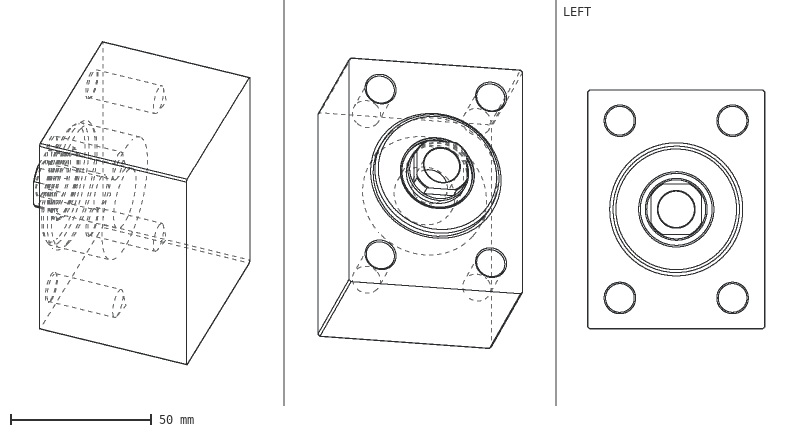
import cadquery as cq
import math

BLOCK_LENGTH = 56.0
BLOCK_WIDTH = 63.0
BLOCK_HEIGHT = 85.0
BLOCK_EDGE = 0.8

MOUNT_SPACING_Y = 40.0
MOUNT_SPACING_Z = 63.0
MOUNT_DIAMETER = 10.2
MOUNT_CHAMFER = 0.5
MOUNT_DEPTH = 25.5
DRILL_TIP_ANGLE = 118.0

GLAND_DIAMETER = 45.0
GLAND_PROJECTION = 3.0
GLAND_CHAMFER = 1.0
GLAND_DEPTH = 20.4
BORE_CHAMFER = 1.2
LIP_DIAMETER = 26.8
LIP_DEPTH = 0.5
RECESS_DIAMETER = 25.6
RECESS_DEPTH = 1.45

ROD_DIAMETER = 22.0
ROD_CHAMFER = 0.5
ROD_PROJECTION = 5.0
TIP_PROJECTION = 11.0
TIP_DIAMETER = ROD_DIAMETER - 2 * ROD_CHAMFER
TIP_CHAMFER = 0.3
TIP_ACROSS_FLATS = 18.0
THREAD_DIAMETER = 12.9
THREAD_CHAMFER = 0.25
THREAD_DEPTH = 22.1


def turned(profile):
    """Solid of revolution about the X axis from (x, radius) points."""
    return cq.Workplane("XY").polyline(profile).close().revolve(360, (0, 0, 0), (1, 0, 0))


def cylinder(diameter, x_start, x_end):
    """Cylinder on the X axis between two X positions."""
    return cq.Workplane("YZ").workplane(offset=x_start).circle(diameter / 2).extrude(x_end - x_start)


def hole_cutter(diameter, x_mouth, depth, chamfer):
    """Chamfered blind hole entering toward +X, with a conical bottom beyond its full-diameter depth."""
    radius = diameter / 2
    cone_length = radius / math.tan(math.radians(DRILL_TIP_ANGLE / 2))
    return turned([
        (x_mouth, 0),
        (x_mouth, radius + chamfer),
        (x_mouth + chamfer, radius),
        (x_mouth + depth, radius),
        (x_mouth + depth + cone_length, 0),
    ])


def make_housing():
    block = cq.Workplane("XY").box(BLOCK_LENGTH, BLOCK_WIDTH, BLOCK_HEIGHT, centered=(False, True, True))
    block = block.edges("|X").chamfer(BLOCK_EDGE)

    bore_radius = GLAND_DIAMETER / 2
    block = block.cut(turned([
        (0, 0),
        (0, bore_radius + BORE_CHAMFER),
        (BORE_CHAMFER, bore_radius),
        (GLAND_DEPTH, bore_radius),
        (GLAND_DEPTH, 0),
    ]))

    mount_hole = hole_cutter(MOUNT_DIAMETER, 0, MOUNT_DEPTH, MOUNT_CHAMFER)
    for side_y in (-1, 1):
        for side_z in (-1, 1):
            position = (0, side_y * MOUNT_SPACING_Y / 2, side_z * MOUNT_SPACING_Z / 2)
            block = block.cut(mount_hole.translate(position))
    return block


def make_gland():
    radius = GLAND_DIAMETER / 2
    lip_radius = LIP_DIAMETER / 2
    recess_radius = RECESS_DIAMETER / 2
    rod_radius = ROD_DIAMETER / 2
    front = -GLAND_PROJECTION
    return turned([
        (GLAND_DEPTH, rod_radius),
        (GLAND_DEPTH, radius),
        (front + GLAND_CHAMFER, radius),
        (front, radius - GLAND_CHAMFER),
        (front, lip_radius),
        (front + LIP_DEPTH, lip_radius),
        (front + LIP_DEPTH, recess_radius),
        (front + RECESS_DEPTH, recess_radius),
        (front + RECESS_DEPTH, rod_radius),
    ])


def make_rod():
    shank = cylinder(ROD_DIAMETER, -ROD_PROJECTION, GLAND_DEPTH).faces("<X").chamfer(ROD_CHAMFER)

    tip = cylinder(TIP_DIAMETER, -TIP_PROJECTION, -ROD_PROJECTION).faces("<X").chamfer(TIP_CHAMFER)
    tip_length = TIP_PROJECTION - ROD_PROJECTION
    square = cq.Workplane("XY").box(
        tip_length, TIP_ACROSS_FLATS, TIP_ACROSS_FLATS, centered=(False, True, True)
    )
    tip = tip.intersect(square.translate((-TIP_PROJECTION, 0, 0)))

    thread_hole = hole_cutter(THREAD_DIAMETER, -TIP_PROJECTION, THREAD_DEPTH, THREAD_CHAMFER)
    return shank.union(tip).cut(thread_hole)


housing = make_housing()
gland = make_gland()
rod = make_rod()

result = cq.Compound.makeCompound([housing.val(), gland.val(), rod.val()])